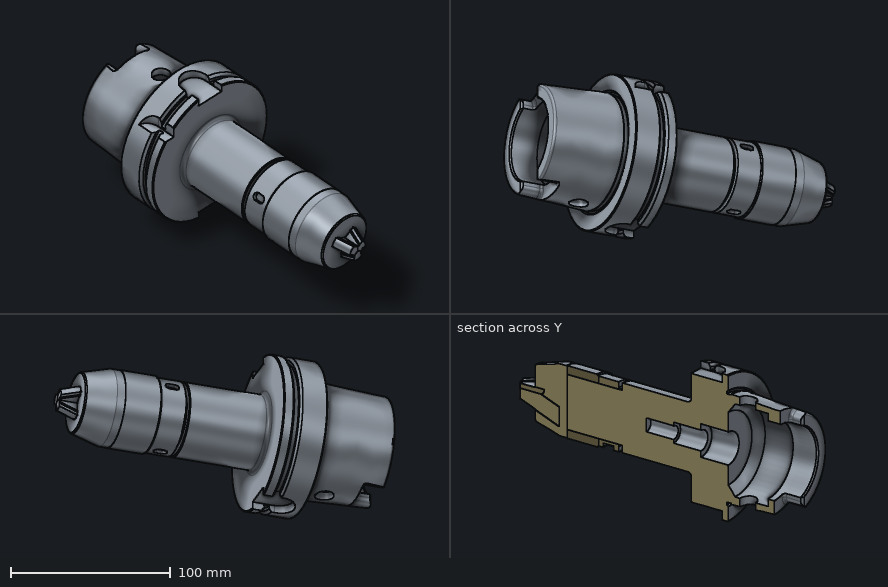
import cadquery as cq
import math


SHANK_LENGTH = 50.0
TAPER_RATIO = 0.1
SHANK_BASE_RADIUS = 37.9
SHANK_END_ROUND = 1.5
RELIEF_LENGTH = 2.3
RELIEF_DEPTH = 0.6
FACE_GROOVE_RADIUS = 39.5
FACE_GROOVE_DEPTH = 1.0

LIP_DIAMETER = 53.0
LIP_LENGTH = 19.2
LIP_CHAMFER_DEPTH = 0.6
LIP_CHAMFER_LENGTH = 1.3
UNDERCUT_RADIUS = 31.5
FLOOR_DIAMETER = 49.5
FLOOR_CONE_LENGTH = 5.3
FLOOR_X = 0.0
FLOOR_BORES = [(22.5, 21.2), (14.0, 42.3), (9.0, 63.5)]
CROSS_HOLE_DIAMETER = 12.0
CROSS_HOLE_X = -15.0

SLOT_HALF_WIDTH = 10.0
SLOT_EDGE_ROUND = 5.0
SLOT_SHOULDER_Z = 32.2
SLOT_FLOOR_FILLET = 2.0
SLOT_ENTRY_WIDTH = 2.0
SLOT_ENTRY_DEPTH = 1.3
TOP_SLOT_DEPTH = 9.5
BOTTOM_SLOT_DEPTH = 14.4

FLANGE_DIAMETER = 100.0
FLANGE_LENGTH = 29.0
FLANGE_CHAMFER = 0.6
GRIP_GROOVE_START = 16.5
GRIP_GROOVE_END = 22.8
GRIP_GROOVE_RADIUS = 46.0
GRIP_BEVEL_WIDTH = 1.5
GRIP_BEVEL_DEPTH = 2.1
KEYWAY_WIDTH = 19.9
KEYWAY_START = 4.9
KEYWAY_FLOOR_Z = 44.0
NOTCH_WALL_Y = -31.7
NOTCH_FLOOR_Z = 31.3

NECK_DIAMETER = 48.0
NECK_FILLET = 2.7
NECK_END = 82.5
NECK_CHAMFER = 0.6
SPINDLE_DIAMETER = 38.0

RING_START = 84.8
RING_END = 101.0
RING_HUB_LENGTH = 1.0
KEY_RECESS_LENGTH = 8.9
KEY_RECESS_WIDTH = 5.3
KEY_RECESS_DEPTH = 3.0
KEY_RECESS_X = 93.0
KEY_RECESS_ANGLES = [26, 146, 266]

SLEEVE_DIAMETER = 50.0
SLEEVE_END = 125.0
SLEEVE_CHAMFER = 0.8

NOSE_DIAMETER = 49.5
NOSE_CONE_START = 130.7
NOSE_END = 149.8
NOSE_TIP_RADIUS = 19.7
NOSE_TIP_CHAMFER = 0.8

JAW_DIAMETER = 12.0
JAW_TILT = 20.0
JAW_CENTRE_AT_NOSE = 4.9
JAW_THICKNESS = 6.3
JAW_GROOVE_WIDTH = 0.8
JAW_GROOVE_DEPTH = 0.2
JAW_GROOVE_OFFSET = 2.5
JAW_WEDGE_ANGLE = 120
JAW_BACK_X = 131.1
JAW_ANGLES = [30, 150, 270]

SHANK_END_X = -SHANK_LENGTH
TOTAL_LENGTH = 211.5
JAW_TIP_X = TOTAL_LENGTH - SHANK_LENGTH
FLANGE_RADIUS = FLANGE_DIAMETER / 2
NECK_RADIUS = NECK_DIAMETER / 2
SPINDLE_RADIUS = SPINDLE_DIAMETER / 2
LIP_RADIUS = LIP_DIAMETER / 2
OUTSIDE = 2 * FLANGE_RADIUS


def revolve_about_x(outline):
    """Turn a closed outline in (x, radius) about the X axis."""
    return outline.close().revolve(360, (0, 0, 0), (1, 0, 0))


def shank_radius(x):
    """Radius of the shank taper, whose diameter changes by TAPER_RATIO per unit length."""
    return SHANK_BASE_RADIUS + x * TAPER_RATIO / 2


def turned_holder():
    """Shank, flange, neck and spindle as one turned blank."""
    round_end_x = SHANK_END_X + SHANK_END_ROUND
    round_end_radius = shank_radius(round_end_x)
    relief_radius = shank_radius(-RELIEF_LENGTH) - RELIEF_DEPTH
    bevel_radius = FLANGE_RADIUS - GRIP_BEVEL_DEPTH
    outline = (
        cq.Workplane("XY")
        .moveTo(SHANK_END_X, 0)
        .lineTo(SHANK_END_X, round_end_radius - SHANK_END_ROUND)
        .radiusArc((round_end_x, round_end_radius), SHANK_END_ROUND)
        .lineTo(-RELIEF_LENGTH, shank_radius(-RELIEF_LENGTH))
        .lineTo(-RELIEF_LENGTH + RELIEF_DEPTH, relief_radius)
        .lineTo(FACE_GROOVE_DEPTH, relief_radius)
        .lineTo(FACE_GROOVE_DEPTH, FACE_GROOVE_RADIUS - FACE_GROOVE_DEPTH)
        .lineTo(0, FACE_GROOVE_RADIUS)
        .lineTo(0, FLANGE_RADIUS - FLANGE_CHAMFER)
        .lineTo(FLANGE_CHAMFER, FLANGE_RADIUS)
        .lineTo(GRIP_GROOVE_START, FLANGE_RADIUS)
        .lineTo(GRIP_GROOVE_START + GRIP_BEVEL_WIDTH, bevel_radius)
        .lineTo(GRIP_GROOVE_START + GRIP_BEVEL_WIDTH, GRIP_GROOVE_RADIUS)
        .lineTo(GRIP_GROOVE_END - GRIP_BEVEL_WIDTH, GRIP_GROOVE_RADIUS)
        .lineTo(GRIP_GROOVE_END - GRIP_BEVEL_WIDTH, bevel_radius)
        .lineTo(GRIP_GROOVE_END, FLANGE_RADIUS)
        .lineTo(FLANGE_LENGTH - FLANGE_CHAMFER, FLANGE_RADIUS)
        .lineTo(FLANGE_LENGTH, FLANGE_RADIUS - FLANGE_CHAMFER)
        .lineTo(FLANGE_LENGTH, NECK_RADIUS + NECK_FILLET)
        .radiusArc((FLANGE_LENGTH + NECK_FILLET, NECK_RADIUS), -NECK_FILLET)
        .lineTo(NECK_END - NECK_CHAMFER, NECK_RADIUS)
        .lineTo(NECK_END, NECK_RADIUS - NECK_CHAMFER)
        .lineTo(NECK_END, SPINDLE_RADIUS)
        .lineTo(SLEEVE_END, SPINDLE_RADIUS)
        .lineTo(SLEEVE_END, 0)
    )
    return revolve_about_x(outline)


def shank_bore():
    """Clamping bore with its lip, undercut and floor, and the stepped bores in the floor."""
    lip_end = SHANK_END_X + LIP_LENGTH
    outline = (
        cq.Workplane("XY")
        .moveTo(SHANK_END_X, 0)
        .lineTo(SHANK_END_X, LIP_RADIUS + LIP_CHAMFER_DEPTH)
        .lineTo(SHANK_END_X + LIP_CHAMFER_LENGTH, LIP_RADIUS)
        .lineTo(lip_end, LIP_RADIUS)
        .lineTo(lip_end, UNDERCUT_RADIUS)
        .lineTo(FLOOR_X - FLOOR_CONE_LENGTH, UNDERCUT_RADIUS)
        .lineTo(FLOOR_X, FLOOR_DIAMETER / 2)
        .lineTo(FLOOR_X, 0)
    )
    bore = revolve_about_x(outline)
    for diameter, depth in FLOOR_BORES:
        bore = bore.union(cq.Workplane("YZ", origin=(FLOOR_X, 0, 0)).circle(diameter / 2).extrude(depth))
    return bore


def drive_slot(depth):
    """Cutter for the slot on the +Z side of the shank end; the lug edges beside it are rounded."""
    round_start_z = SLOT_SHOULDER_Z - SLOT_EDGE_ROUND
    shoulder_y = SLOT_HALF_WIDTH + SLOT_EDGE_ROUND
    clear_y = shoulder_y + SLOT_EDGE_ROUND
    slot = (
        cq.Workplane("YZ", origin=(SHANK_END_X, 0, 0))
        .moveTo(-SLOT_HALF_WIDTH, 0)
        .lineTo(-SLOT_HALF_WIDTH, round_start_z)
        .radiusArc((-shoulder_y, SLOT_SHOULDER_Z), -SLOT_EDGE_ROUND)
        .lineTo(-clear_y, SLOT_SHOULDER_Z)
        .lineTo(-clear_y, OUTSIDE)
        .lineTo(clear_y, OUTSIDE)
        .lineTo(clear_y, SLOT_SHOULDER_Z)
        .lineTo(shoulder_y, SLOT_SHOULDER_Z)
        .radiusArc((SLOT_HALF_WIDTH, round_start_z), -SLOT_EDGE_ROUND)
        .lineTo(SLOT_HALF_WIDTH, 0)
        .close()
        .extrude(depth)
    )
    slot = slot.faces(">X").edges("not(<Z or >Z or <Y or >Y)").fillet(SLOT_FLOOR_FILLET)
    entry_half_width = SLOT_HALF_WIDTH + SLOT_ENTRY_WIDTH
    entry = (
        cq.Workplane("XY", origin=(SHANK_END_X, 0, 0))
        .polyline([
            (0, -entry_half_width),
            (SLOT_ENTRY_DEPTH, -SLOT_HALF_WIDTH),
            (SLOT_ENTRY_DEPTH, SLOT_HALF_WIDTH),
            (0, entry_half_width),
        ])
        .close()
        .extrude(SLOT_SHOULDER_Z)
    )
    return slot.union(entry)


def keyway():
    """Cutter for the round-ended keyway on the +Z side of the flange, open towards the neck."""
    radius = KEYWAY_WIDTH / 2
    centre_x = KEYWAY_START + radius
    straight = FLANGE_LENGTH - centre_x
    plane = cq.Workplane("XY", origin=(centre_x, 0, KEYWAY_FLOOR_Z))
    slot = plane.circle(radius).extrude(OUTSIDE)
    return slot.union(plane.center(straight / 2, 0).rect(straight, KEYWAY_WIDTH).extrude(OUTSIDE))


def corner_notch():
    """Cutter for the square notch on the -Y, +Z corner of the flange, open towards the neck."""
    radius = KEYWAY_WIDTH / 2
    length = FLANGE_LENGTH - KEYWAY_START
    return (
        cq.Workplane("XY", origin=(KEYWAY_START, NOTCH_WALL_Y, NOTCH_FLOOR_Z))
        .box(length, OUTSIDE, OUTSIDE, centered=False)
        .translate((0, -OUTSIDE, 0))
        .edges("|Z and <X and >Y")
        .fillet(radius)
    )


def make_holder():
    holder = turned_holder().cut(shank_bore())
    holder = holder.cut(drive_slot(TOP_SLOT_DEPTH))
    holder = holder.cut(drive_slot(BOTTOM_SLOT_DEPTH).rotate((0, 0, 0), (1, 0, 0), 180))
    for angle in (0, 180):
        holder = holder.cut(keyway().rotate((0, 0, 0), (1, 0, 0), angle))
    holder = holder.cut(corner_notch())
    cross_hole = (
        cq.Workplane("XY", origin=(CROSS_HOLE_X, 0, 0))
        .circle(CROSS_HOLE_DIAMETER / 2)
        .extrude(FLANGE_RADIUS, both=True)
    )
    return holder.cut(cross_hole)


def make_ring():
    """Ring with a short conical hub towards the neck and blind key recesses around it."""
    ring = revolve_about_x(
        cq.Workplane("XY")
        .moveTo(RING_START - RING_HUB_LENGTH, SPINDLE_RADIUS)
        .lineTo(RING_START, SPINDLE_RADIUS + RING_HUB_LENGTH)
        .lineTo(RING_START, NECK_RADIUS)
        .lineTo(RING_END, NECK_RADIUS)
        .lineTo(RING_END, SPINDLE_RADIUS)
    )
    recess = (
        cq.Workplane("XZ", origin=(KEY_RECESS_X, NECK_RADIUS - KEY_RECESS_DEPTH, 0))
        .slot2D(KEY_RECESS_LENGTH, KEY_RECESS_WIDTH)
        .extrude(-NECK_RADIUS)
    )
    for angle in KEY_RECESS_ANGLES:
        ring = ring.cut(recess.rotate((0, 0, 0), (1, 0, 0), angle))
    return ring


def make_sleeve():
    sleeve_radius = SLEEVE_DIAMETER / 2
    return revolve_about_x(
        cq.Workplane("XY")
        .moveTo(RING_END, SPINDLE_RADIUS)
        .lineTo(RING_END, sleeve_radius - SLEEVE_CHAMFER)
        .lineTo(RING_END + SLEEVE_CHAMFER, sleeve_radius)
        .lineTo(SLEEVE_END, sleeve_radius)
        .lineTo(SLEEVE_END, SPINDLE_RADIUS)
    )


def make_jaw(angle):
    """Tilted round jaw with a shallow groove along each flat flank; its inner edge is a wedge."""
    tilt = math.radians(JAW_TILT)
    length = TOTAL_LENGTH / 2
    plane = cq.Plane(
        origin=(NOSE_END, JAW_CENTRE_AT_NOSE, 0),
        xDir=(0, 0, -1),
        normal=(math.cos(tilt), -math.sin(tilt), 0),
    )
    section = cq.Workplane(plane)
    jaw = section.circle(JAW_DIAMETER / 2).extrude(length, both=True)
    jaw = jaw.intersect(section.rect(JAW_THICKNESS, JAW_DIAMETER).extrude(length, both=True))
    grooves = (
        section
        .pushPoints([(side * JAW_THICKNESS / 2, JAW_GROOVE_OFFSET) for side in (-1, 1)])
        .rect(2 * JAW_GROOVE_DEPTH, JAW_GROOVE_WIDTH)
        .extrude(length, both=True)
    )
    jaw = jaw.cut(grooves)
    wedge_half_width = JAW_DIAMETER
    wedge_rise = wedge_half_width / math.tan(math.radians(JAW_WEDGE_ANGLE / 2))
    wedge = (
        cq.Workplane("YZ", origin=(JAW_BACK_X, 0, 0))
        .polyline([
            (0, 0),
            (wedge_rise, wedge_half_width),
            (OUTSIDE, wedge_half_width),
            (OUTSIDE, -wedge_half_width),
            (wedge_rise, -wedge_half_width),
        ])
        .close()
        .extrude(JAW_TIP_X - JAW_BACK_X)
    )
    return jaw.intersect(wedge).rotate((0, 0, 0), (1, 0, 0), angle)


def make_nose(jaws):
    """Tapered nose with a fitting pocket for each jaw."""
    nose_radius = NOSE_DIAMETER / 2
    nose = revolve_about_x(
        cq.Workplane("XY")
        .moveTo(SLEEVE_END, 0)
        .lineTo(SLEEVE_END, nose_radius)
        .lineTo(NOSE_CONE_START, nose_radius)
        .lineTo(NOSE_END - NOSE_TIP_CHAMFER, NOSE_TIP_RADIUS)
        .lineTo(NOSE_END, NOSE_TIP_RADIUS - NOSE_TIP_CHAMFER)
        .lineTo(NOSE_END, 0)
    )
    for jaw in jaws:
        nose = nose.cut(jaw)
    return nose


holder = make_holder()
ring = make_ring()
sleeve = make_sleeve()
jaws = [make_jaw(angle) for angle in JAW_ANGLES]
nose = make_nose(jaws)

bodies = [holder, ring, sleeve, nose, *jaws]
result = cq.Compound.makeCompound([body.solids().val() for body in bodies])